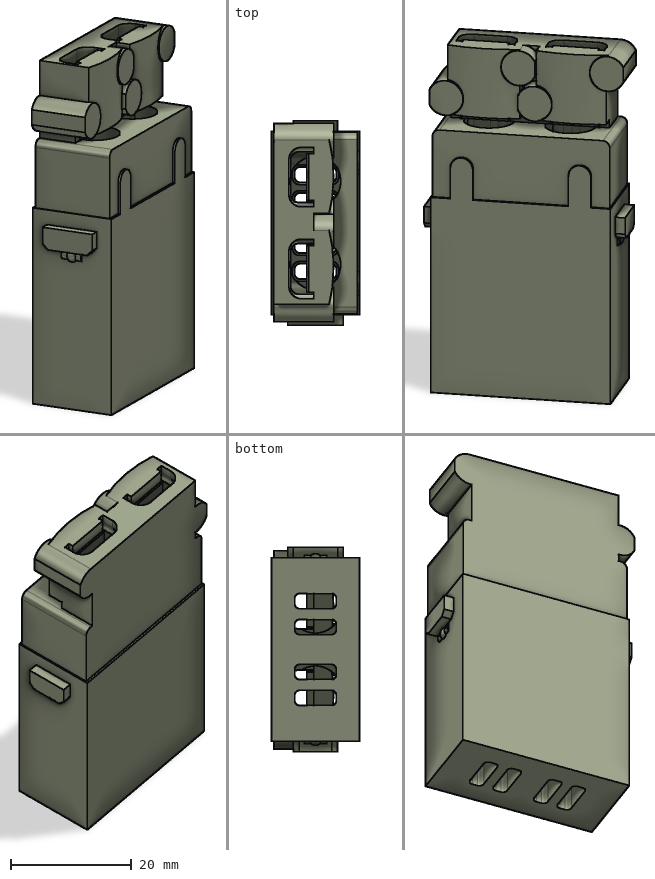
import cadquery as cq
import math

housing_x = 14.6
housing_y = 30.4
housing_z = 33.85
mid_x = housing_x / 2

body_x_min = 0.4
body_x_max = housing_x - body_x_min
shoulder_half_y = 15.0
shoulder_z = 45.5
shoulder_radius = 1.2
neck_x_max = 7.0
neck_half_y = 13.4
top_z = 58.85

module_starts = (-neck_half_y, 1.6)
module_y = 12.2
lower_lug_offset = 0.25
lug_radius = 3.0
lug_reach = 2.7
head_x_max = 10.3
head_end_x = 9.55
upper_lug_z = top_z - lug_radius
lower_lug_z = upper_lug_z - 2 * lug_radius
head_middle_z = upper_lug_z - lug_radius
head_bottom_z = lower_lug_z - lug_radius

mouth_x_min = 2.9
mouth_x_max = neck_x_max
mouth_y_min = 2.65
mouth_y_max = 12.55
mouth_mid_y = (mouth_y_min + mouth_y_max) / 2
mouth_radius = 2.1
mouth_depth = 2.35
mouth_floor_radius = 0.75
tongue_x = 6.2
tongue_half_y = 3.9
throat_side_inset = 0.3
throat_end_inset = 0.75
throat_tongue_x = 5.8
throat_bowl_radius = 2.05

chamber_radius = 4.2
chamber_y = 6.9
chamber_floor_z = housing_z

contact_slot_x = 6.8
contact_slot_y = 2.5
contact_slot_radius = 0.75
contact_slot_chamfer = 0.4
contact_slot_centres = (3.7, 8.0)

rib_width = 3.8
rib_centre_y = 10.0
rib_top_z = 41.0

latch_span_y = 33.85
latch_bottom_z = 27.55
latch_top_z = 31.3
latch_chamfer = 0.95
front_latch_x = 9.2
back_latch_x = 7.3

pin_z = 26.5
pin_depth = 0.5
pin_length = 3.65
pin_radius = 0.8
ball_radius = 1.1


def block(x_min, x_max, y_min, y_max, z_min, z_max):
    size = (x_max - x_min, y_max - y_min, z_max - z_min)
    return cq.Workplane("XY").box(*size, centered=False).translate((x_min, y_min, z_min))


def mirrored_pair(shape):
    """The shape together with its copy mirrored about Y = 0."""
    return shape.union(shape.mirror("XZ"))


def upper_body():
    shoulder = block(
        body_x_min, body_x_max, -shoulder_half_y, shoulder_half_y, housing_z, shoulder_z
    )
    shoulder = shoulder.faces(">Z").edges("|X").fillet(shoulder_radius)
    neck = block(body_x_min, neck_x_max, -neck_half_y, neck_half_y, shoulder_z, top_z)
    return shoulder.union(neck)


def lug(axis_y, axis_z, side):
    """Round bar along X, cut flat on the side (+1 or -1) that faces outward in Y."""
    half_height = math.sqrt(lug_radius**2 - lug_reach**2)
    flat_y = axis_y + side * lug_reach
    return (
        cq.Workplane("YZ", origin=(body_x_min, 0, 0))
        .moveTo(flat_y, axis_z - half_height)
        .lineTo(flat_y, axis_z + half_height)
        .threePointArc((axis_y - side * lug_radius, axis_z), (flat_y, axis_z - half_height))
        .close()
        .extrude(head_x_max - body_x_min)
    )


def module(start_y):
    """Block with a bowed face toward +X, carrying one lug on each end."""
    end_y = start_y + module_y
    bowed_block = (
        cq.Workplane("XY", origin=(0, 0, head_bottom_z))
        .moveTo(body_x_min, start_y)
        .lineTo(head_end_x, start_y)
        .threePointArc((head_x_max, start_y + module_y / 2), (head_end_x, end_y))
        .lineTo(body_x_min, end_y)
        .close()
        .extrude(top_z - head_bottom_z)
    )
    upper_lug = lug(end_y, upper_lug_z, 1)
    lower_lug = lug(start_y - lower_lug_offset, lower_lug_z, -1)
    return bowed_block.union(upper_lug).union(lower_lug)


def head():
    """Both modules, with the lower half kept flush with the neck on the +Y side."""
    shape = module(module_starts[0]).union(module(module_starts[1]))
    overhang = block(
        body_x_min, head_x_max, neck_half_y, neck_half_y + module_y, head_bottom_z, head_middle_z
    )
    return shape.cut(overhang)


def d_pocket(side_inset, end_inset, tongue_face_x, z_min, z_max, floor_radius, floor_edges):
    """Pocket of the +Y module: rounded toward -X, curved at chosen floor ends, less the tongue."""
    y_min = mouth_y_min + end_inset
    y_max = mouth_y_max - end_inset
    x_min = mouth_x_min + side_inset
    plan = block(x_min, mouth_x_max, y_min, y_max, z_min, z_max)
    plan = plan.edges("|Z and <X").fillet(mouth_radius - end_inset)
    bowl = block(x_min, mouth_x_max, y_min, y_max, z_min, z_max)
    bowl = bowl.faces("<Z").edges(floor_edges).fillet(floor_radius)
    tongue = block(
        tongue_face_x, mouth_x_max, mouth_mid_y - tongue_half_y, mouth_mid_y + tongue_half_y, z_min, z_max
    )
    return plan.intersect(bowl).cut(tongue)


def wire_passage():
    """Mouth, throat and round contact chamber of the +Y module."""
    mouth_floor_z = top_z - mouth_depth
    mouth = d_pocket(0, 0, tongue_x, mouth_floor_z, top_z, mouth_floor_radius, "|X")
    throat = d_pocket(
        throat_side_inset,
        throat_end_inset,
        throat_tongue_x,
        chamber_floor_z,
        mouth_floor_z,
        throat_bowl_radius,
        "|X and >Y",
    )
    chamber = (
        cq.Workplane("XY", origin=(mid_x, chamber_y, chamber_floor_z))
        .circle(chamber_radius)
        .extrude(shoulder_z - chamber_floor_z)
    )
    return mouth.union(throat).union(chamber)


def contact_slot(centre_y):
    """Rounded slot through the housing, flared where it meets the chamber floor."""
    slot = (
        cq.Workplane("XY", origin=(mid_x, centre_y, 0))
        .placeSketch(rounded_rectangle(0))
        .extrude(chamber_floor_z)
    )
    flare = (
        cq.Workplane("XY", origin=(mid_x, centre_y, chamber_floor_z))
        .placeSketch(rounded_rectangle(contact_slot_chamfer))
        .extrude(-contact_slot_chamfer, taper=45)
    )
    return slot.union(flare)


def rounded_rectangle(margin):
    """Outline of a contact slot, grown by a margin on every side."""
    outline = cq.Sketch().rect(contact_slot_x + 2 * margin, contact_slot_y + 2 * margin)
    return outline.vertices().fillet(contact_slot_radius + margin)


def rib():
    radius = rib_width / 2
    spring_z = rib_top_z - radius
    return (
        cq.Workplane("YZ", origin=(body_x_max, 0, 0))
        .moveTo(rib_centre_y - radius, housing_z)
        .lineTo(rib_centre_y - radius, spring_z)
        .threePointArc((rib_centre_y, rib_top_z), (rib_centre_y + radius, spring_z))
        .lineTo(rib_centre_y + radius, housing_z)
        .close()
        .extrude(housing_x - body_x_max)
    )


def latch(width, side):
    """Latch lug on the end facing side (+1 or -1) in Y, with its lower corners cut off."""
    x_min = mid_x - width / 2
    x_max = mid_x + width / 2
    shape = block(x_min, x_max, housing_y / 2, latch_span_y / 2, latch_bottom_z, latch_top_z)
    shape = shape.edges("|Y and <Z").chamfer(latch_chamfer)
    return shape if side > 0 else shape.mirror("XZ")


def hinge_pin():
    """Pin and ball half sunk in the +Y end of the housing."""
    axis_y = housing_y / 2 - pin_depth
    bar = (
        cq.Workplane("YZ", origin=(mid_x - pin_length / 2, 0, 0))
        .center(axis_y, pin_z)
        .circle(pin_radius)
        .extrude(pin_length)
    )
    ball = cq.Workplane("XY", origin=(mid_x, axis_y, pin_z)).sphere(ball_radius)
    return bar.union(ball)


housing = block(0, housing_x, -housing_y / 2, housing_y / 2, 0, housing_z)
result = housing.union(upper_body()).union(head()).union(mirrored_pair(rib()))
result = result.cut(mirrored_pair(wire_passage()))
for slot_y in contact_slot_centres:
    result = result.cut(mirrored_pair(contact_slot(slot_y)))
result = result.union(latch(front_latch_x, -1)).union(latch(back_latch_x, 1))
result = result.union(mirrored_pair(hinge_pin()))